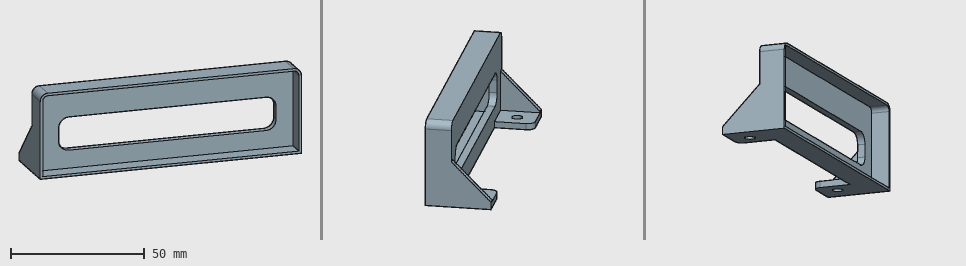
import cadquery as cq

length = 103.0
depth = 25.0
height = 33.5

wall_thickness = 10.0
wall_corner_radius = 3.0
window_length = 85.7
window_height = 13.0
window_bottom = 8.0
window_offset = 1.0
window_corner_radius = 4.0

panel_thickness = 3.0
rim_thickness = 1.0

foot_width = 15.0
foot_thickness = 2.5
foot_corner_radius = 3.0
hole_diameter = 4.0
gusset_thickness = 2.5
gusset_toe_height = 3.0
foot_reach = depth - wall_thickness
gusset_top = gusset_toe_height + foot_reach


def make_wall():
    """Wall from X = foot_reach to X = depth, centred on Y = 0."""
    wall = (
        cq.Workplane("XY")
        .box(wall_thickness, length, height, centered=(False, True, False))
        .edges("|X and >Z")
        .fillet(wall_corner_radius)
    )
    window = (
        cq.Workplane("XY")
        .box(wall_thickness, window_length, window_height, centered=(False, True, False))
        .edges("|X")
        .fillet(window_corner_radius)
        .translate((0, window_offset, window_bottom))
    )
    pocket = (
        cq.Workplane("XY")
        .box(
            wall_thickness - panel_thickness,
            length - 2 * rim_thickness,
            height - 2 * rim_thickness,
            centered=(False, True, False),
        )
        .edges("|X and >Z")
        .fillet(wall_corner_radius - rim_thickness)
        .translate((panel_thickness, 0, rim_thickness))
    )
    return wall.cut(window).cut(pocket).translate((foot_reach, 0, 0))


def make_foot():
    """Drilled foot with its gusset at the -Y end of the wall."""
    outer_y = -length / 2
    hole_y = outer_y + (gusset_thickness + foot_width) / 2
    plate = (
        cq.Workplane("XY")
        .box(foot_reach, foot_width, foot_thickness, centered=False)
        .edges("|Z and <X and >Y")
        .fillet(foot_corner_radius)
        .translate((0, outer_y, 0))
    )
    hole = (
        cq.Workplane("XY")
        .center(foot_reach / 2, hole_y)
        .circle(hole_diameter / 2)
        .extrude(foot_thickness)
    )
    gusset = (
        cq.Workplane("XZ", origin=(0, outer_y, 0))
        .polyline([(0, 0), (foot_reach, 0), (foot_reach, gusset_top), (0, gusset_toe_height)])
        .close()
        .extrude(-gusset_thickness)
    )
    return plate.cut(hole).union(gusset)


foot = make_foot()
result = make_wall().union(foot).union(foot.mirror("XZ"))